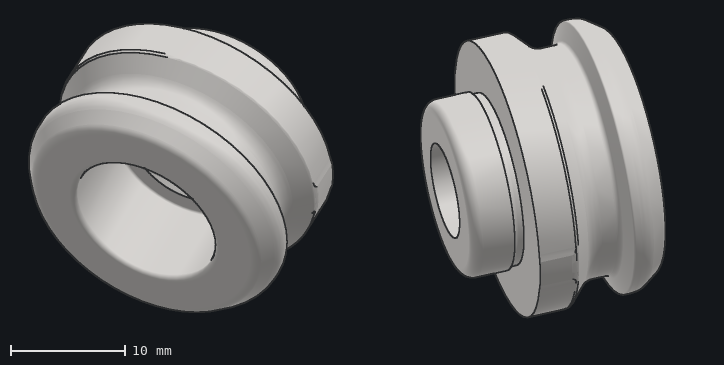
import cadquery as cq
import math

length = 16.9

lip_radius = 24.6 / 2
lip_slope = math.radians(35)
lip_crest_y = 2.67
lip_outer_round = 2.0
lip_face_round = 1.0
lip_back_round = 0.2

groove_radius = 20.7 / 2
groove_front_y = 4.42
groove_back_y = 5.77
groove_front_slope = math.radians(70)
groove_back_slope = math.radians(46)
groove_front_round = 0.5
groove_back_round = 2.0

flange_radius = 24.8 / 2
flange_back_y = 12.12
flange_edge_round = 0.37
pad_radius = 12.5
pad_half_height = 1.47
pad_root_half_height = 2.2
pad_front_y = 9.2
pad_front_run = 0.7
pad_front_bulge = 0.05
pad_sag = 0.015
pad_base_depth = 2.0

boss_radius = 16.0 / 2
neck_radius = 7.75
neck_end_y = 12.6
neck_round = 0.5
boss_edge_round = 1.0

bore_radius = 13.5 / 2
bore_depth = 8.25
bore_mouth_round = 0.5
bore_floor_round = 0.25
hole_radius = 8.5 / 2
hole_mouth_radius = 10.3 / 2
hole_chamfer = hole_mouth_radius - hole_radius


def round_point(center, radius, angle):
    """Point of a round, as (distance from the axis, Y)."""
    return (center[0] + radius * math.sin(angle), center[1] + radius * math.cos(angle))


def add_round(profile, center, radius, start, end):
    """Join the profile to a round that runs between two angles from +Y."""
    middle = round_point(center, radius, (start + end) / 2)
    return (
        profile.lineTo(*round_point(center, radius, start))
        .threePointArc(middle, round_point(center, radius, end))
    )


def make_body():
    quarter = math.pi / 2

    crest_center = (lip_radius - lip_outer_round, lip_crest_y)
    cone_angle = quarter + lip_slope
    crest_end = round_point(crest_center, lip_outer_round, cone_angle)
    face_y = lip_face_round * (1 - math.sin(lip_slope))
    face_cone_radius = crest_end[0] - (crest_end[1] - face_y) * math.tan(lip_slope)
    face_center = (face_cone_radius - lip_face_round * math.cos(lip_slope), lip_face_round)

    front_center = (groove_radius + groove_front_round, groove_front_y)
    front_wall = round_point(front_center, groove_front_round, -quarter - groove_front_slope)
    lip_wall_radius = lip_radius - lip_back_round * (1 - math.cos(groove_front_slope))
    lip_wall_y = front_wall[1] - (lip_wall_radius - front_wall[0]) / math.tan(groove_front_slope)
    lip_back_center = (
        lip_radius - lip_back_round,
        lip_wall_y - lip_back_round * math.sin(groove_front_slope),
    )
    back_center = (groove_radius + groove_back_round, groove_back_y)
    back_wall = round_point(back_center, groove_back_round, groove_back_slope - quarter)

    edge_drop = flange_edge_round * (1 - math.cos(groove_back_slope))
    edge_wall_y = back_wall[1] + (flange_radius - edge_drop - back_wall[0]) / math.tan(groove_back_slope)
    edge_center = (
        flange_radius - flange_edge_round,
        edge_wall_y + flange_edge_round * math.sin(groove_back_slope),
    )

    neck_center = (neck_radius + neck_round, neck_end_y)
    neck_sweep = math.acos(1 - (boss_radius - neck_radius) / neck_round)
    boss_center = (boss_radius - boss_edge_round, length - boss_edge_round)

    profile = cq.Workplane("XY").moveTo(0, 0)
    profile = add_round(profile, face_center, lip_face_round, math.pi, cone_angle)
    profile = add_round(profile, crest_center, lip_outer_round, cone_angle, quarter)
    profile = add_round(
        profile, lip_back_center, lip_back_round, quarter, quarter - groove_front_slope
    )
    profile = add_round(
        profile, front_center, groove_front_round, -quarter - groove_front_slope, -quarter
    )
    profile = add_round(
        profile, back_center, groove_back_round, -quarter, groove_back_slope - quarter
    )
    profile = add_round(
        profile, edge_center, flange_edge_round, quarter + groove_back_slope, quarter
    )
    profile = profile.lineTo(flange_radius, flange_back_y).lineTo(neck_radius, flange_back_y)
    profile = add_round(profile, neck_center, neck_round, -quarter, neck_sweep - quarter)
    profile = add_round(profile, boss_center, boss_edge_round, quarter, 0)
    profile = profile.lineTo(0, length).close()
    return profile.revolve(360, (0, 0, 0), (0, 1, 0))


def make_bore():
    floor_center = (bore_radius - bore_floor_round, bore_depth - bore_floor_round)
    mouth_center = (bore_radius + bore_mouth_round, bore_mouth_round)
    profile = cq.Workplane("XY").moveTo(0, 0)
    profile = add_round(profile, mouth_center, bore_mouth_round, math.pi, 1.5 * math.pi)
    profile = add_round(profile, floor_center, bore_floor_round, math.pi / 2, 0)
    profile = (
        profile.lineTo(hole_mouth_radius, bore_depth)
        .lineTo(hole_radius, bore_depth + hole_chamfer)
        .lineTo(hole_radius, length)
        .lineTo(0, length)
        .close()
    )
    return profile.revolve(360, (0, 0, 0), (0, 1, 0))


def make_pad():
    """Raised pad on the +X side, with hollow flanks and a sloping front end."""
    root_x = math.sqrt(flange_radius**2 - pad_root_half_height**2)
    edge_x = math.sqrt(pad_radius**2 - pad_half_height**2)
    flank_x = (root_x + edge_x) / 2 - pad_sag
    flank_z = (pad_root_half_height + pad_half_height) / 2
    base_x = root_x - pad_base_depth
    section = (
        cq.Workplane("XZ", origin=(0, flange_back_y, 0))
        .moveTo(base_x, -pad_root_half_height)
        .lineTo(root_x, -pad_root_half_height)
        .threePointArc((flank_x, -flank_z), (edge_x, -pad_half_height))
        .threePointArc((pad_radius, 0), (edge_x, pad_half_height))
        .threePointArc((flank_x, flank_z), (root_x, pad_root_half_height))
        .lineTo(base_x, pad_root_half_height)
        .close()
        .extrude(flange_back_y - pad_front_y + pad_front_run)
    )
    front_tip_y = pad_front_y - pad_front_run
    front_tip_radius = flange_radius - flange_edge_round * (1 - math.cos(groove_back_slope))
    front_middle = (
        (front_tip_radius + pad_radius) / 2 + pad_front_bulge,
        pad_front_y - pad_front_run / 2,
    )
    envelope = (
        cq.Workplane("XY")
        .moveTo(0, front_tip_y)
        .lineTo(front_tip_radius, front_tip_y)
        .threePointArc(front_middle, (pad_radius, pad_front_y))
        .lineTo(pad_radius, flange_back_y)
        .lineTo(0, flange_back_y)
        .close()
        .revolve(360, (0, 0, 0), (0, 1, 0))
    )
    return section.intersect(envelope)


pad = make_pad()
result = make_body().union(pad).union(pad.mirror("YZ")).cut(make_bore())